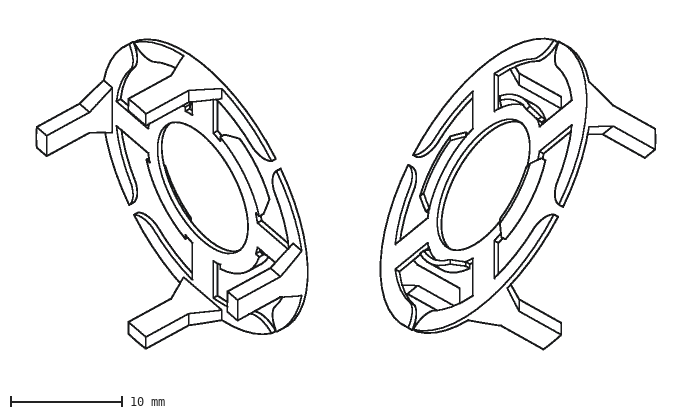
import cadquery as cq
import math

plate_thickness = 0.5
outer_radius = 14.5
rim_inner_radius = 12.5
hub_radius = 8.5
hub_hole_diameter = 13.0
spoke_width = 3.01
quarter_turns = [0, 90, 180, 270]

rim_tip_angle = 43.1
rim_bulge_angle = 39.1
rim_bulge_radius = 12.9
rim_blend_angle = 35.2

notch_floor_radius = 8.0
notch_half_width = 2.5

wall_height = 1.0

leg_length = 8.0
leg_thickness = 1.5
leg_width = 2.52
leg_root_width = 5.5
leg_taper_end = 3.1


def disc(radius, y_front, y_back):
    """Solid disc about the Y axis between two Y positions."""
    return cq.Workplane("XZ", origin=(0, y_back, 0)).circle(radius).extrude(y_back - y_front)


def around_axis(solid):
    """Four copies of a solid, a quarter turn apart about the Y axis."""
    copies = cq.Workplane("XY")
    for angle in quarter_turns:
        copies = copies.add(solid.rotate((0, 0, 0), (0, 1, 0), angle))
    return copies.combine()


def polar(radius, angle):
    """XZ point at an angle from the +Z axis, positive toward +X."""
    radians = math.radians(angle)
    return radius * math.sin(radians), radius * math.cos(radians)


def rim_segment():
    """Upper rim segment, with a rounded bulge running in to each pointed tip."""
    return (
        cq.Workplane("XZ")
        .moveTo(*polar(outer_radius, -rim_tip_angle))
        .threePointArc(polar(outer_radius, 0), polar(outer_radius, rim_tip_angle))
        .threePointArc(polar(rim_bulge_radius, rim_bulge_angle), polar(rim_inner_radius, rim_blend_angle))
        .threePointArc(polar(rim_inner_radius, 0), polar(rim_inner_radius, -rim_blend_angle))
        .threePointArc(polar(rim_bulge_radius, -rim_bulge_angle), polar(outer_radius, -rim_tip_angle))
        .close()
        .extrude(plate_thickness)
    )


def spoke():
    """Upper spoke, from inside the hub ring to inside the rim."""
    spoke_start = (hub_hole_diameter / 2 + notch_floor_radius) / 2
    spoke_end = (rim_inner_radius + outer_radius) / 2
    return (
        cq.Workplane("XZ")
        .center(0, (spoke_start + spoke_end) / 2)
        .rect(spoke_width, spoke_end - spoke_start)
        .extrude(plate_thickness)
    )


def leg():
    """Upper leg, its outer face following the rim and its inner face flat."""
    half_root = leg_root_width / 2
    half_width = leg_width / 2
    outline = [
        (-half_root, 0),
        (half_root, 0),
        (half_root, -plate_thickness),
        (half_width, -leg_taper_end),
        (half_width, -leg_length),
        (-half_width, -leg_length),
        (-half_width, -leg_taper_end),
        (-half_root, -plate_thickness),
    ]
    bar = (
        cq.Workplane("XY", origin=(0, 0, outer_radius - leg_thickness))
        .polyline(outline)
        .close()
        .extrude(leg_thickness)
    )
    return bar.intersect(disc(outer_radius, -leg_length, 0))


def notch_gap():
    """Space above the hub between two walls, straight in the plate and flaring behind it."""
    flared_half_width = notch_half_width + wall_height
    outline = [
        (-notch_half_width, -plate_thickness),
        (notch_half_width, -plate_thickness),
        (notch_half_width, 0),
        (flared_half_width, wall_height),
        (-flared_half_width, wall_height),
        (-notch_half_width, 0),
    ]
    return cq.Workplane("XY").polyline(outline).close().extrude(outer_radius)


def hub():
    """Flat ring carrying four snap walls, with a notch left between neighbouring walls."""
    core = disc(notch_floor_radius, -plate_thickness, 0)
    walls = disc(hub_radius, -plate_thickness, wall_height)
    walls = walls.cut(disc(notch_floor_radius, -plate_thickness, wall_height))
    walls = walls.cut(around_axis(notch_gap()))
    hole = disc(hub_hole_diameter / 2, -plate_thickness, 0)
    return core.union(walls).cut(hole)


arm = rim_segment().union(spoke()).union(leg())
result = hub().union(around_axis(arm))